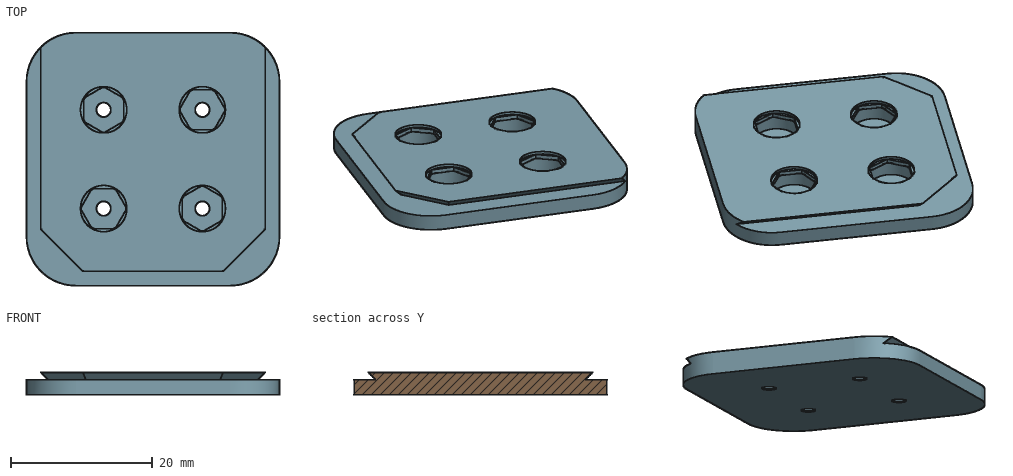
import cadquery as cq
import math

side = 35.88
corner_radius = 7.0
base_height = 2.2

slide_height = 1.0
slide_inset = 2.05
slide_corner_cut = 5.95
total_height = base_height + slide_height

pocket_pitch = 14.0
floor_thickness = 0.18
bore_diameter = 6.3
rim_diameter = 6.55
rim_depth = 0.4
hex_depth = 0.6
push_hole_diameter = 2.0


def rounded_block(height):
    """Square block with rounded vertical edges, standing on Z = 0."""
    block = cq.Workplane("XY").box(side, side, height, centered=(True, True, False))
    return block.edges("|Z").fillet(corner_radius)


def slide_section(z, shrink):
    """Slide outline at height z, every slanting side moved inwards by shrink."""
    half_width = side / 2 - slide_inset - shrink
    cut = slide_corner_cut - shrink * (2 - math.sqrt(2))
    back = side / 2
    points = [
        (-half_width, back),
        (-half_width, cut - half_width),
        (cut - half_width, -half_width),
        (half_width - cut, -half_width),
        (half_width, cut - half_width),
        (half_width, back),
    ]
    return cq.Wire.makePolygon([cq.Vector(x, y, z) for x, y in points], close=True)


def dovetail_slide():
    """Slide with sides undercut at 45 degrees, trimmed to the plate outline."""
    bottom = slide_section(base_height, slide_height)
    top = slide_section(total_height, 0)
    slide = cq.Workplane(obj=cq.Solid.makeLoft([bottom, top], True))
    return slide.intersect(rounded_block(total_height))


def magnet_pocket(x, y, hex_angle):
    """Cutter: push-out hole, magnet bore, hexagonal lip inscribed in the rim, and round rim."""
    rim_floor = total_height - rim_depth
    lip_bottom = rim_floor - hex_depth

    push_hole = cq.Workplane("XY").circle(push_hole_diameter / 2).extrude(total_height)
    bore = (
        cq.Workplane("XY", origin=(0, 0, floor_thickness))
        .circle(bore_diameter / 2)
        .extrude(lip_bottom - floor_thickness)
    )
    lip = (
        cq.Workplane("XY", origin=(0, 0, lip_bottom))
        .polygon(6, rim_diameter)
        .extrude(hex_depth)
        .rotate((0, 0, 0), (0, 0, 1), hex_angle)
    )
    rim = cq.Workplane("XY", origin=(0, 0, rim_floor)).circle(rim_diameter / 2).extrude(rim_depth)
    return push_hole.union(bore).union(lip).union(rim).translate((x, y, 0))


result = rounded_block(base_height).union(dovetail_slide())
pocket_offset = pocket_pitch / 2
for x_sign in (-1, 1):
    for y_sign in (-1, 1):
        hex_turn = 0 if x_sign == y_sign else 30
        pocket = magnet_pocket(x_sign * pocket_offset, y_sign * pocket_offset, hex_turn)
        result = result.cut(pocket)